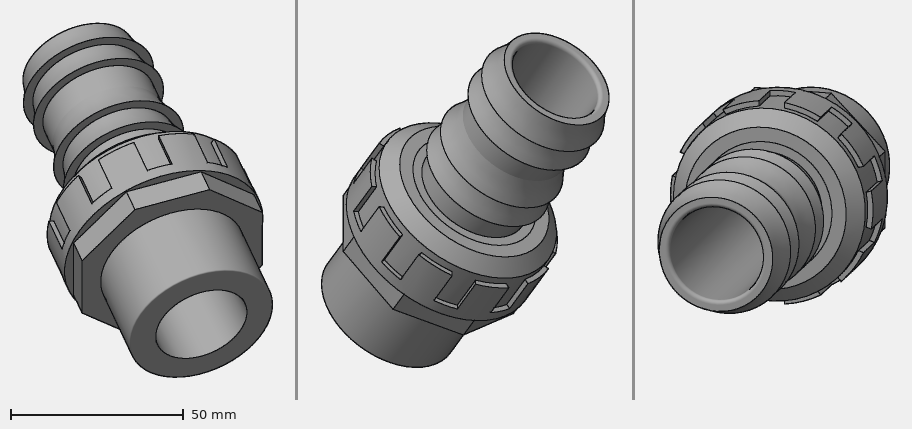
import cadquery as cq
import math


bore_radius = 14.0
mouth_round = 1.2
tail_radius = 17.1
barb_radius = 20.0
barb_length = 8.65
barb_hollow = 0.4
barb_slots = (0, 1, 3, 4)
tail_slots = 6
collar_radius = barb_radius

nut_start = tail_slots * barb_length
nut_end = 73.6
nut_face_radius = 24.3
nut_body_radius = 28.9
nut_grip_radius = 30.5
nut_cone_end = 56.0
grip_start = 58.5
notch_end = 70.0
notch_count = 10
notch_width = 7.6

flange_end = 80.9
flange_across_flats = 55.4
flange_sides = 8
spigot_radius = 22.0
spigot_end = 106.0
spigot_round = 0.4


def cylinder(radius, start, end):
    """Solid cylinder along X between two stations."""
    return cq.Workplane("YZ", origin=(start, 0, 0)).circle(radius).extrude(end - start)


def make_barb(start):
    """Barb with a hollow flank that rises from the tail to a sharp edge."""
    end = start + barb_length
    middle = start + barb_length / 2
    middle_radius = (tail_radius + barb_radius) / 2 - barb_hollow
    return (
        cq.Workplane("XY")
        .moveTo(start, 0)
        .lineTo(start, tail_radius)
        .threePointArc((middle, middle_radius), (end, barb_radius))
        .lineTo(end, 0)
        .close()
        .revolve(360, (0, 0, 0), (1, 0, 0))
    )


def make_hose_tail():
    """Barbed tail and the collar that fills the nut, bored through."""
    tail = cylinder(tail_radius, 0, nut_start)
    for slot in barb_slots:
        tail = tail.union(make_barb(slot * barb_length))
    tail = tail.union(cylinder(collar_radius, nut_start, nut_end))
    tail = tail.cut(cylinder(bore_radius, 0, nut_end))
    mouth_edge = cq.selectors.RadiusNthSelector(0)
    return tail.faces("<X").edges(mouth_edge).fillet(mouth_round)


def make_notch(angle):
    """Parallel-sided block that opens one gap between grip pads, at an angle from +Y."""
    return (
        cq.Workplane("YZ", origin=(grip_start, 0, 0))
        .center(nut_grip_radius, 0)
        .rect(nut_grip_radius, notch_width)
        .extrude(notch_end - grip_start)
        .rotate((0, 0, 0), (1, 0, 0), angle)
    )


def make_nut():
    """Round nut with a coned front, a raised grip with notches and a plain bore."""
    grip = cylinder(nut_grip_radius, grip_start, nut_end)
    for index in range(notch_count):
        grip = grip.cut(make_notch((index + 0.5) * 360 / notch_count))
    core = (
        cq.Workplane("XY")
        .moveTo(nut_start, 0)
        .lineTo(nut_start, nut_face_radius)
        .lineTo(nut_cone_end, nut_body_radius)
        .lineTo(nut_end, nut_body_radius)
        .lineTo(nut_end, 0)
        .close()
        .revolve(360, (0, 0, 0), (1, 0, 0))
    )
    return core.union(grip).cut(cylinder(collar_radius, nut_start, nut_end))


def make_union_end():
    """Octagonal flange against the nut, with the spigot behind it, bored through."""
    half_side = 180 / flange_sides
    corner_diameter = flange_across_flats / math.cos(math.radians(half_side))
    flange = (
        cq.Workplane("YZ", origin=(nut_end, 0, 0))
        .polygon(flange_sides, corner_diameter)
        .extrude(flange_end - nut_end)
        .rotate((0, 0, 0), (1, 0, 0), half_side)
    )
    spigot = cylinder(spigot_radius, flange_end, spigot_end).faces(">X").edges().fillet(spigot_round)
    return flange.union(spigot).cut(cylinder(bore_radius, nut_end, spigot_end))


hose_tail = make_hose_tail()
nut = make_nut()
union_end = make_union_end()

result = cq.Compound.makeCompound([hose_tail.val(), nut.val(), union_end.val()])